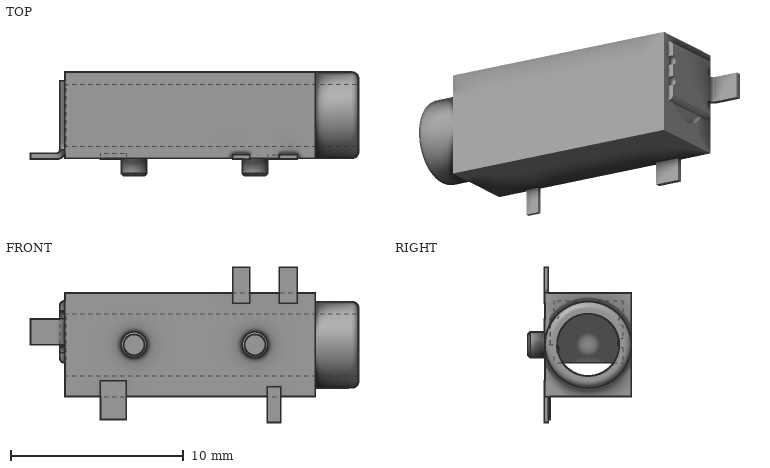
import cadquery as cq


BODY_LENGTH = 14.5
BODY_DEPTH = 5.0
BODY_HEIGHT = 6.0
SLEEVE_DIAMETER = BODY_DEPTH
SLEEVE_LENGTH = 2.5
SLEEVE_ROUNDING = 0.4
BORE_DIAMETER = 3.6

PEG_DIAMETER = 1.5
PEG_LENGTH = 1.0
PEG_FIRST_X = 4.0
PEG_SPACING = 7.0
PEG_TIP_CHAMFER = 0.15

TERMINAL_STANDOFF = 0.05
THICK_SHEET = 0.35
THIN_SHEET = 0.25
BOARD_FACE_Y = -BODY_DEPTH / 2
TERMINAL_FACE_Y = BOARD_FACE_Y - TERMINAL_STANDOFF
TERMINAL_TIP_Z = 4.5
TERMINAL_ROOT_Z = 2.42
WIDE_TERMINAL_TIP_Z = 4.33
WIDE_TERMINAL_ROOT_Z = 2.08

SIDE_TERMINALS = [
    (2.05, 1.5, -WIDE_TERMINAL_TIP_Z, -WIDE_TERMINAL_ROOT_Z, THICK_SHEET),
    (9.7, 1.0, TERMINAL_ROOT_Z, TERMINAL_TIP_Z, THIN_SHEET),
    (12.4, 1.05, TERMINAL_ROOT_Z, TERMINAL_TIP_Z, THIN_SHEET),
    (11.7, 0.8, -TERMINAL_TIP_Z, -TERMINAL_ROOT_Z, THIN_SHEET),
]

PLATE_PROUD = 0.3
PLATE_HEIGHT = 3.6
PLATE_CENTER_Z = 0.75
PLATE_BACK_Y = 2.0
BEND_INNER_RADIUS = 0.2
BEND_OUTER_RADIUS = BEND_INNER_RADIUS + THICK_SHEET
PLATE_FOOT_Y = TERMINAL_FACE_Y + BEND_OUTER_RADIUS
PLATE_INNER_X = THICK_SHEET - PLATE_PROUD
END_TERMINAL_REACH = 2.0
END_TERMINAL_WIDTH = 1.5
BACK_NOTCH_RADIUS = 0.27
BACK_NOTCH_SPACING = 1.27
RELIEF_WIDTH = 0.47
RELIEF_DEPTH = 0.3


def box(x_range, y_range, z_range):
    """Box spanning the given (low, high) range on each axis."""
    size = [high - low for low, high in (x_range, y_range, z_range)]
    corner = (x_range[0], y_range[0], z_range[0])
    return cq.Workplane("XY").box(*size, centered=False).translate(corner)


def make_housing():
    """Rectangular housing with the round plug sleeve on its +X end."""
    body = cq.Workplane("XY").box(BODY_LENGTH, BODY_DEPTH, BODY_HEIGHT, centered=(False, True, True))
    sleeve = (
        cq.Workplane("YZ", origin=(BODY_LENGTH, 0, 0))
        .circle(SLEEVE_DIAMETER / 2)
        .extrude(SLEEVE_LENGTH)
        .faces(">X")
        .edges()
        .fillet(SLEEVE_ROUNDING)
    )
    return body.union(sleeve)


def make_bore():
    """Plug bore, running through the sleeve and the whole housing."""
    return cq.Workplane("YZ").circle(BORE_DIAMETER / 2).extrude(BODY_LENGTH + SLEEVE_LENGTH)


def make_peg(x):
    """Locating peg with a chamfered tip, pointing to -Y."""
    return (
        cq.Workplane("XZ", origin=(x, BOARD_FACE_Y, 0))
        .circle(PEG_DIAMETER / 2)
        .extrude(PEG_LENGTH)
        .faces("<Y")
        .chamfer(PEG_TIP_CHAMFER)
    )


def make_side_terminal(start_x, width, low_z, high_z, thickness):
    """Flat solder tab lying in the board face of the housing."""
    return box(
        (start_x, start_x + width),
        (TERMINAL_FACE_Y, TERMINAL_FACE_Y + thickness),
        (low_z, high_z),
    )


def notch_cutter(y, z, radius):
    """Round cutter along X through the contact plate."""
    return (
        cq.Workplane("YZ", origin=(-PLATE_PROUD, y, z))
        .circle(radius)
        .extrude(THICK_SHEET)
    )


def make_contact_plate():
    """Contact plate with rounded long edges, two back notches and two bend reliefs."""
    half_height = PLATE_HEIGHT / 2
    plate = box(
        (-PLATE_PROUD, PLATE_INNER_X),
        (PLATE_FOOT_Y, PLATE_BACK_Y),
        (PLATE_CENTER_Z - half_height, PLATE_CENTER_Z + half_height),
    )
    plate = plate.faces("<X").edges("|Y").fillet(PLATE_PROUD)

    relief_radius = RELIEF_WIDTH / 2
    relief_y = PLATE_FOOT_Y + RELIEF_DEPTH - relief_radius
    for side in (-1, 1):
        back_z = PLATE_CENTER_Z + side * BACK_NOTCH_SPACING / 2
        plate = plate.cut(notch_cutter(PLATE_BACK_Y, back_z, BACK_NOTCH_RADIUS))

        relief_z = PLATE_CENTER_Z + side * (END_TERMINAL_WIDTH / 2 + relief_radius)
        relief_mouth = box(
            (-PLATE_PROUD, PLATE_INNER_X),
            (PLATE_FOOT_Y, relief_y),
            (relief_z - relief_radius, relief_z + relief_radius),
        )
        plate = plate.cut(notch_cutter(relief_y, relief_z, relief_radius)).cut(relief_mouth)
    return plate


def make_end_terminal():
    """Solder tab that leaves the foot of the contact plate through a 90 degree bend."""
    bend_x = -PLATE_PROUD - BEND_INNER_RADIUS
    return (
        cq.Workplane("XY", origin=(0, 0, PLATE_CENTER_Z - END_TERMINAL_WIDTH / 2))
        .moveTo(PLATE_INNER_X, PLATE_FOOT_Y)
        .radiusArc((bend_x, TERMINAL_FACE_Y), BEND_OUTER_RADIUS)
        .lineTo(-END_TERMINAL_REACH, TERMINAL_FACE_Y)
        .lineTo(-END_TERMINAL_REACH, TERMINAL_FACE_Y + THICK_SHEET)
        .lineTo(bend_x, TERMINAL_FACE_Y + THICK_SHEET)
        .radiusArc((-PLATE_PROUD, PLATE_FOOT_Y), -BEND_INNER_RADIUS)
        .close()
        .extrude(END_TERMINAL_WIDTH)
    )


result = make_housing().cut(make_bore())
for peg_x in (PEG_FIRST_X, PEG_FIRST_X + PEG_SPACING):
    result = result.union(make_peg(peg_x))
for terminal in SIDE_TERMINALS:
    result = result.union(make_side_terminal(*terminal))
result = result.union(make_contact_plate()).union(make_end_terminal())